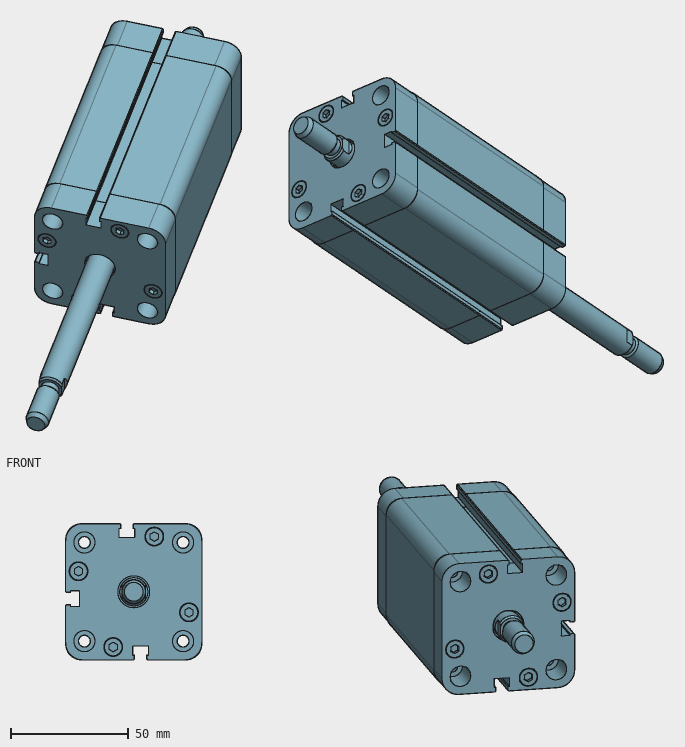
import cadquery as cq
import math

body_width = 58.1
tube_width = 58.0
body_length = 116.1
cap_length = 15.0
cap_corner_radius = 7.5
tube_corner_radius = 6.8

slot_offset = 2.9
slot_mouth_width = 5.2
slot_mouth_chamfer = 0.4
slot_inner_width = 6.6
slot_lip = 2.1
slot_depth = 5.9

mount_spacing = 42.0
mount_hole_diameter = 4.92
mount_counterbore_diameter = 9.0
mount_counterbore_depth = cap_length

screw_inset = 5.55
screw_offset = 8.75
screw_bore_diameter = 8.0
screw_head_diameter = 7.5
screw_head_height = 4.0
socket_across_flats = 3.5
socket_depth = 2.0

rod_diameter = 12.0
rod_front_reach = 76.2
rod_rear_reach = 6.2
rod_chamfer = 0.8
bearing_bore_diameter = 13.6
bearing_bore_depth = 2.0

stud_length = 22.0
stud_diameter = 10.0
stud_tip_diameter = 8.0
stud_tip_length = 2.2
relief_diameter = 7.9
relief_length = 3.5
relief_cone_length = 0.6

flat_across = 10.0
flat_length = 4.4

quarter_turns = (0, 90, 180, 270)
slot_turns = (0, 180, 270)

screw_reach = body_width / 2 - screw_inset
screw_places = [
    (screw_offset, screw_reach),
    (screw_reach, -screw_offset),
    (-screw_offset, -screw_reach),
    (-screw_reach, screw_offset),
]


def plane_at(y):
    """XZ plane at the given Y, whose sketches extrude toward +Y."""
    return cq.Plane(origin=(0, y, 0), xDir=(-1, 0, 0), normal=(0, 1, 0))


def slotted_block(y, length, width, corner_radius):
    """Rounded square block along Y with a T-slot in its top, bottom and left faces."""
    block = cq.Workplane(plane_at(y)).rect(width, width).extrude(length)
    block = block.edges("|Y").fillet(corner_radius)
    slot = make_slot(y, length, width)
    for angle in slot_turns:
        block = block.cut(turned_about_y(slot, angle))
    return block


def cylinder(y, length, diameter, x=0, z=0):
    return cq.Workplane(plane_at(y)).center(-x, z).circle(diameter / 2).extrude(length)


def turned_about_y(shape, angle):
    return shape.rotate((0, 0, 0), (0, 1, 0), angle)


def mirrored_end(shape):
    """The same feature on the rear end face."""
    return shape.mirror("XZ", (0, body_length / 2, 0))


def make_body():
    tube_length = body_length - 2 * cap_length
    front_cap = slotted_block(0, cap_length, body_width, cap_corner_radius)
    tube = slotted_block(cap_length, tube_length, tube_width, tube_corner_radius)
    return front_cap.union(tube).union(mirrored_end(front_cap))


def make_slot(y, length, width):
    """T-slot cutter for the top face of a block of the given width."""
    face = width / 2
    mouth = slot_mouth_width / 2
    flare = mouth + slot_mouth_chamfer
    inner = slot_inner_width / 2
    right_side = [
        (flare, face),
        (mouth, face - slot_mouth_chamfer),
        (mouth, face - slot_lip),
        (inner, face - slot_lip),
        (inner, face - slot_depth),
    ]
    left_side = [(-x, z) for x, z in reversed(right_side)]
    outline = right_side + left_side
    slot = cq.Workplane("XZ").polyline(outline).close().extrude(-length)
    return slot.translate((-slot_offset, y, 0))


def make_mount_hole():
    """Cutter for a through hole counterbored from both ends, in the upper right corner."""
    place = mount_spacing / 2
    hole = cylinder(0, body_length, mount_hole_diameter, place, place)
    counterbore = cylinder(0, mount_counterbore_depth, mount_counterbore_diameter, place, place)
    return hole.union(counterbore).union(mirrored_end(counterbore))


def make_screw_recess(x, z):
    """Gap around one screw head plus its hexagon socket, on the front face."""
    bore = cylinder(0, screw_head_height, screw_bore_diameter, x, z)
    head = cylinder(0, screw_head_height, screw_head_diameter, x, z)
    socket_diameter = socket_across_flats / math.cos(math.pi / 6)
    socket = (
        cq.Workplane(plane_at(0))
        .center(-x, z)
        .transformed(rotate=(0, 0, 90))
        .polygon(6, socket_diameter)
        .extrude(socket_depth)
    )
    return bore.cut(head).union(socket)


def make_rod():
    """Turned rod and both studs, revolved about the Y axis."""
    rod_radius = rod_diameter / 2
    stud_radius = stud_diameter / 2
    relief_radius = relief_diameter / 2
    tip_radius = stud_tip_diameter / 2

    end_profile = [
        (rod_radius, -rod_chamfer),
        (rod_radius - rod_chamfer, 0),
        (relief_radius, 0),
        (relief_radius, relief_length - relief_cone_length),
        (stud_radius, relief_length),
        (stud_radius, stud_length - stud_tip_length),
        (tip_radius, stud_length),
        (0, stud_length),
    ]
    front = [(radius, -rod_front_reach - reach) for radius, reach in end_profile]
    rear = [(radius, body_length + rod_rear_reach + reach) for radius, reach in end_profile]
    outline = front + rear[::-1]
    rod = cq.Workplane("XY").polyline(outline).close().revolve(360, (0, 0, 0), (0, 1, 0))

    front_flats = make_flats()
    rod_middle = (body_length + rod_rear_reach - rod_front_reach) / 2
    rear_flats = front_flats.mirror("XZ", (0, rod_middle, 0))
    return rod.cut(front_flats).cut(rear_flats)


def make_flats():
    """Cutters for a pair of wrench flats with 45 degree run-outs, at the front end of the rod."""
    inner = flat_across / 2
    outer = rod_diameter / 2
    shoulder = -rod_front_reach
    run_out = outer - inner
    outline = [
        (inner, shoulder),
        (inner, shoulder + flat_length),
        (outer, shoulder + flat_length + run_out),
        (outer, shoulder),
    ]
    flat = cq.Workplane("XY").polyline(outline).close().extrude(rod_diameter / 2, both=True)
    return flat.union(flat.mirror("YZ"))


body = make_body()

mount_hole = make_mount_hole()
for angle in quarter_turns:
    body = body.cut(turned_about_y(mount_hole, angle))

for x, z in screw_places:
    screw_recess = make_screw_recess(x, z)
    body = body.cut(screw_recess).cut(mirrored_end(screw_recess))

bearing_gap = cylinder(0, bearing_bore_depth, bearing_bore_diameter)
body = body.cut(bearing_gap).cut(mirrored_end(bearing_gap))

result = body.union(make_rod())